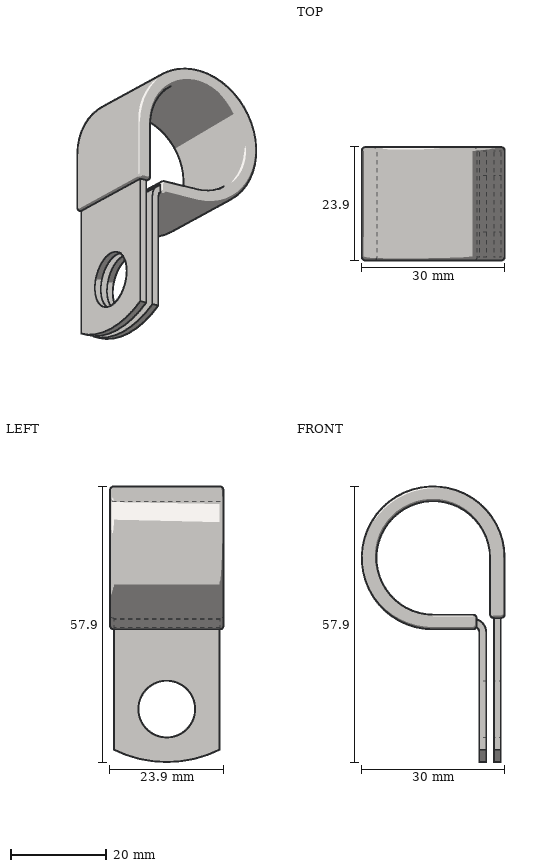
import cadquery as cq
import math

outer_radius = 15.015
cushion_thickness = 3.1
cushion_width = 23.85
edge_fillet = 0.8
upright_length = 12.6
floor_length = 9.15

strap_thickness = cushion_thickness - 2 * edge_fillet
strap_width = cushion_width - 2 * edge_fillet
tab_gap = 1.55
bend_inner_radius = 1.45
overall_height = 57.85
tip_radius = 25.0
hole_diameter = 11.85
hole_drop = 31.7

inner_radius = outer_radius - cushion_thickness
middle_radius = outer_radius - cushion_thickness / 2
strap_outer_radius = middle_radius + strap_thickness / 2
strap_inner_radius = middle_radius - strap_thickness / 2
tab_bottom = outer_radius - overall_height


def extrude_centered(outline, width):
    """Extrude an XZ outline equally to both sides of the loop's middle plane."""
    return outline.extrude(width / 2, both=True)


def make_cushion():
    """Three-quarter loop with a straight run at each end and rounded edges."""
    diagonal = math.sqrt(0.5)
    outline = (
        cq.Workplane("XZ")
        .moveTo(outer_radius, -upright_length)
        .lineTo(outer_radius, 0)
        .threePointArc((-outer_radius * diagonal, outer_radius * diagonal), (0, -outer_radius))
        .lineTo(floor_length, -outer_radius)
        .lineTo(floor_length, -inner_radius)
        .lineTo(0, -inner_radius)
        .threePointArc((-inner_radius * diagonal, inner_radius * diagonal), (inner_radius, 0))
        .lineTo(inner_radius, -upright_length)
        .close()
    )
    body = extrude_centered(outline, cushion_width)
    upright_end = cq.selectors.NearestToPointSelector((middle_radius, 0, -upright_length))
    floor_end = cq.selectors.NearestToPointSelector((floor_length, 0, -middle_radius))
    end_edges = body.faces(upright_end).edges().add(body.faces(floor_end).edges())
    side_edges = body.faces("<Y or >Y").edges()
    return end_edges.add(side_edges).fillet(edge_fillet)


def make_straight_tab():
    """Flat tab continuing straight down from inside the upright cushion run."""
    outline = (
        cq.Workplane("XZ")
        .moveTo(strap_inner_radius, 0)
        .lineTo(strap_outer_radius, 0)
        .lineTo(strap_outer_radius, tab_bottom)
        .lineTo(strap_inner_radius, tab_bottom)
        .close()
    )
    return extrude_centered(outline, strap_width)


def make_bent_tab():
    """Tab leaving the floor run and bending down parallel to the straight tab."""
    right = strap_inner_radius - tab_gap
    left = right - strap_thickness
    bend_outer_radius = bend_inner_radius + strap_thickness
    bend_x = left - bend_inner_radius
    bend_z = -strap_outer_radius - bend_inner_radius
    outline = (
        cq.Workplane("XZ")
        .moveTo(0, -strap_outer_radius)
        .lineTo(bend_x, -strap_outer_radius)
        .radiusArc((left, bend_z), bend_inner_radius)
        .lineTo(left, tab_bottom)
        .lineTo(right, tab_bottom)
        .lineTo(right, bend_z)
        .radiusArc((bend_x, -strap_inner_radius), -bend_outer_radius)
        .lineTo(0, -strap_inner_radius)
        .close()
    )
    return extrude_centered(outline, strap_width)


def make_tip_envelope():
    """Block along X whose curved lower end trims the tabs to a rounded tip."""
    half_width = strap_width / 2
    shoulder_z = tab_bottom + tip_radius - math.sqrt(tip_radius**2 - half_width**2)
    return (
        cq.Workplane("YZ")
        .moveTo(-half_width, 0)
        .lineTo(-half_width, shoulder_z)
        .threePointArc((0, tab_bottom), (half_width, shoulder_z))
        .lineTo(half_width, 0)
        .close()
        .extrude(outer_radius)
    )


def make_bolt_hole():
    """Cylinder along X through both tabs."""
    return (
        cq.Workplane("YZ")
        .center(0, -hole_drop)
        .circle(hole_diameter / 2)
        .extrude(outer_radius)
    )


tabs = make_straight_tab().union(make_bent_tab())
tabs = tabs.intersect(make_tip_envelope()).cut(make_bolt_hole())
result = make_cushion().union(tabs)